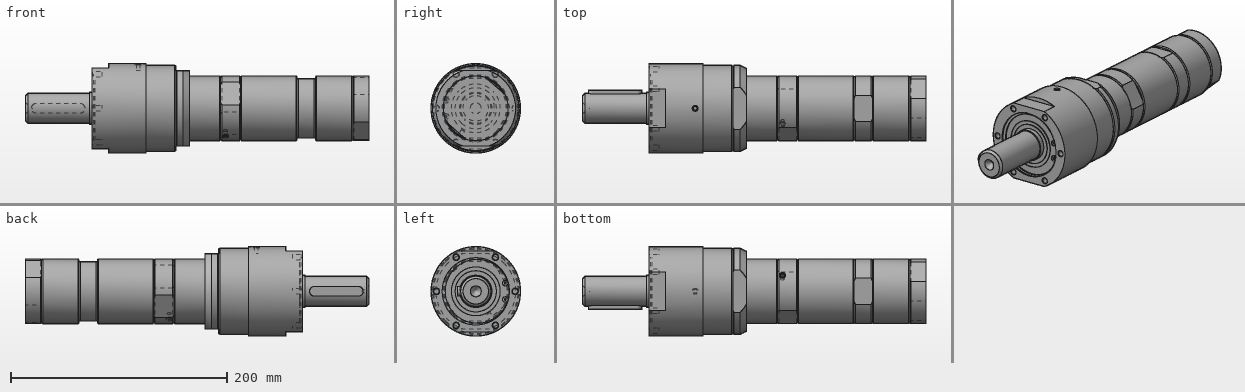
import cadquery as cq
import math

LENGTH = 317.5
COLLAR_START = 59.5
HEAD_START = 61.3
HEAD_FLAT_END = 76.8
HEAD_END = 111.5
HOUSING_END = 139.0
RING_BEVEL_START = 145.7
RING_END = 151.8
CLAMP_STATIONS = (180.3, 198.8)
NECK_STATIONS = (251.0, 268.0)
CAP_START = 302.5

SHAFT_DIA = 28.0
COLLAR_DIA = 30.0
HEAD_DIA = 83.0
HOUSING_DIA = 80.0
RING_END_DIA = 73.7
BODY_DIA = 60.0

SHAFT_CHAMFER = 2.2
JOINT_WIDTH = 2.2
JOINT_DEPTH = 1.0

UP_ANGLE = 90.0
BODY_FLAT_WIDTH = 55.0
HEAD_FLAT_DISTANCE = 37.5
RING_FLAT_DISTANCE = 35.0
BODY_FLAT_DISTANCE = BODY_FLAT_WIDTH / 2
CLAMP_FLAT_ANGLE = 150.0
CAP_FLAT_ANGLE = 49.0

KEY_START = 5.5
KEY_LENGTH = 49.5
KEY_WIDTH = 9.0
KEY_TOP = 16.8

CENTRE_DIA = 10.2
CENTRE_DEPTH = 6.5

BOLT_COUNT = 6
BOLT_CIRCLE_DIA = 72.7
BOLT_DIA = 5.0
BOLT_DEPTH = 9.5
BOLT_CHAMFER = 0.48
BORE_DIA = 62.2
BORE_DEPTH = 3.0
SEAL_DIA = 45.0
SEAL_LIP_DIA = 38.0
SEAL_STEP = 0.5

CLIP_THICKNESS = 1.3
CLIP_OPENING_DIA = 59.0
CLIP_OPENING_SHIFT = 1.3
CLIP_EAR_DIA = 5.0
CLIP_EAR_HOLE_DIA = 1.55
CLIP_EAR_RADIUS = 28.3
CLIP_EAR_ANGLE = 15.5

HEAD_HOLE_X = 104.0
CLAMP_HOLE_X = 184.8
CLAMP_HOLE_ANGLE = 240.0
RADIAL_HOLE_DIA = 5.5
RADIAL_CORE_DIA = 3.5
RADIAL_STEP_DEPTH = 1.3
RADIAL_HOLE_DEPTH = 6.5


def cylinder(start, end, diameter, y=0.0, z=0.0):
    """Cylinder parallel to X between two stations."""
    return cq.Workplane("YZ", origin=(start, y, z)).circle(diameter / 2).extrude(end - start)


def flat_cutter(start, end, distance, angle):
    """Block beyond a plane at a distance from the axis; angle runs from +Y to +Z."""
    block = cq.Workplane("XY").box(end - start, HEAD_DIA, HEAD_DIA, centered=(False, False, True))
    return block.translate((start, distance, 0)).rotate((0, 0, 0), (1, 0, 0), angle)


def cut_flat_pair(part, start, end, distance, angle):
    """Two parallel flats on opposite sides of the axis."""
    for side_angle in (angle, angle + 180):
        part = part.cut(flat_cutter(start, end, distance, side_angle))
    return part


def cut_joint_groove(part, station, diameter):
    """V groove around an outer diameter, centred on a station."""
    radius = diameter / 2
    half_width = JOINT_WIDTH / 2
    outline = [
        (station - half_width, radius),
        (station, radius - JOINT_DEPTH),
        (station + half_width, radius),
    ]
    return part.cut(cq.Workplane("XY").polyline(outline).close().revolve(360, (0, 0, 0), (1, 0, 0)))


def cut_radial_hole(part, x, outer_dia, angle):
    """Stepped blind hole toward the axis; angle runs from +Y to +Z."""
    mouth = cq.Workplane("XZ", origin=(x, outer_dia / 2, 0))
    hole = mouth.circle(RADIAL_HOLE_DIA / 2).extrude(RADIAL_STEP_DEPTH)
    hole = hole.union(mouth.circle(RADIAL_CORE_DIA / 2).extrude(RADIAL_HOLE_DEPTH))
    return part.cut(hole.rotate((0, 0, 0), (1, 0, 0), angle))


def make_turned_body():
    """Revolved profile of shaft, head, housing, clamp ring and slim body."""
    profile = [
        (0, 0),
        (0, SHAFT_DIA / 2 - SHAFT_CHAMFER),
        (SHAFT_CHAMFER, SHAFT_DIA / 2),
        (COLLAR_START, SHAFT_DIA / 2),
        (COLLAR_START, COLLAR_DIA / 2),
        (HEAD_START, COLLAR_DIA / 2),
        (HEAD_START, HEAD_DIA / 2),
        (HEAD_END, HEAD_DIA / 2),
        (HEAD_END, HOUSING_DIA / 2),
        (RING_BEVEL_START, HOUSING_DIA / 2),
        (RING_END, RING_END_DIA / 2),
        (RING_END, BODY_DIA / 2),
        (LENGTH, BODY_DIA / 2),
        (LENGTH, 0),
    ]
    return cq.Workplane("XY").polyline(profile).close().revolve(360, (0, 0, 0), (1, 0, 0))


def make_key():
    """Round-ended key, from the shaft axis out to its top face."""
    middle = KEY_START + KEY_LENGTH / 2
    return cq.Workplane("XZ", origin=(middle, 0, 0)).slot2D(KEY_LENGTH, KEY_WIDTH).extrude(-KEY_TOP)


def make_centre_hole():
    """Conical centre hole in the shaft end."""
    outline = cq.Workplane("XY").polyline([(0, 0), (0, CENTRE_DIA / 2), (CENTRE_DEPTH, 0)]).close()
    return outline.revolve(360, (0, 0, 0), (1, 0, 0))


def make_bore_recess():
    """Stepped annular recess around the collar."""
    floor = HEAD_START + BORE_DEPTH
    recess = cylinder(HEAD_START, floor, BORE_DIA)
    recess = recess.cut(cylinder(floor - SEAL_STEP, floor, SEAL_DIA))
    recess = recess.union(cylinder(floor - SEAL_STEP, floor, SEAL_LIP_DIA))
    return recess.cut(cylinder(HEAD_START, floor, COLLAR_DIA))


def make_retaining_ring():
    """Eccentric ring on the bore floor with two pierced ears on the -Y side."""
    back = HEAD_START + BORE_DEPTH
    front = back - CLIP_THICKNESS
    outer = cylinder(front, back, BORE_DIA)
    ring = outer.cut(cylinder(front, back, CLIP_OPENING_DIA, y=-CLIP_OPENING_SHIFT))
    for angle in (180 - CLIP_EAR_ANGLE, 180 + CLIP_EAR_ANGLE):
        y = CLIP_EAR_RADIUS * math.cos(math.radians(angle))
        z = CLIP_EAR_RADIUS * math.sin(math.radians(angle))
        ring = ring.union(cylinder(front, back, CLIP_EAR_DIA, y, z).intersect(outer))
        ring = ring.cut(cylinder(front, back, CLIP_EAR_HOLE_DIA, y, z))
    return ring


def make_bolt_holes():
    """Blind holes around the front face of the head."""
    hole = cylinder(HEAD_START, HEAD_START + BOLT_DEPTH, BOLT_DIA)
    countersink = cq.Solid.makeCone(
        BOLT_DIA / 2 + BOLT_CHAMFER,
        BOLT_DIA / 2,
        BOLT_CHAMFER,
        cq.Vector(HEAD_START, 0, 0),
        cq.Vector(1, 0, 0),
    )
    hole = hole.union(cq.Workplane(obj=countersink)).translate((0, BOLT_CIRCLE_DIA / 2, 0))
    holes = cq.Workplane()
    for index in range(BOLT_COUNT):
        holes = holes.add(hole.rotate((0, 0, 0), (1, 0, 0), 360 / BOLT_COUNT * index))
    return holes.combine()


part = make_turned_body()

for joint in CLAMP_STATIONS + NECK_STATIONS + (CAP_START,):
    part = cut_joint_groove(part, joint, BODY_DIA)
part = cut_joint_groove(part, HOUSING_END, HOUSING_DIA)

part = cut_flat_pair(part, HEAD_START, HEAD_FLAT_END, HEAD_FLAT_DISTANCE, UP_ANGLE)
part = cut_flat_pair(part, HOUSING_END, RING_END, RING_FLAT_DISTANCE, UP_ANGLE)
part = cut_flat_pair(part, *CLAMP_STATIONS, BODY_FLAT_DISTANCE, CLAMP_FLAT_ANGLE)
part = cut_flat_pair(part, *NECK_STATIONS, BODY_FLAT_DISTANCE, UP_ANGLE)
part = cut_flat_pair(part, CAP_START, LENGTH, BODY_FLAT_DISTANCE, CAP_FLAT_ANGLE)

part = part.union(make_key()).cut(make_centre_hole())
part = part.cut(make_bore_recess()).union(make_retaining_ring())
part = part.cut(make_bolt_holes())

part = cut_radial_hole(part, HEAD_HOLE_X, HEAD_DIA, UP_ANGLE)
part = cut_radial_hole(part, CLAMP_HOLE_X, BODY_DIA, CLAMP_HOLE_ANGLE)

result = part